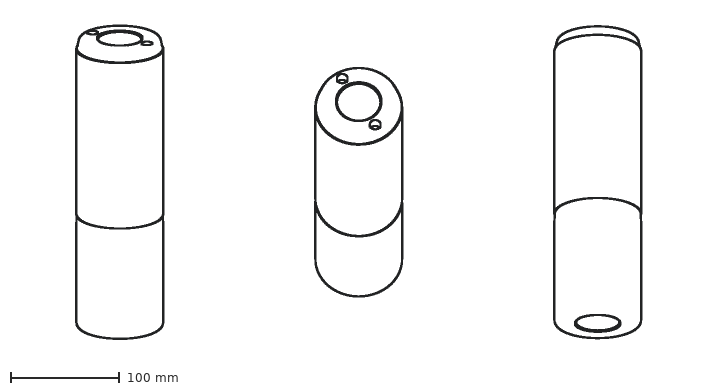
import cadquery as cq
import math

length = 280.0
outer_radius = 80.0 / 2

bore_radius = 20.0
bore_chamfer = 1.0

lead_length = 10.0
lead_bevel = 0.5
lead_angle = 12.0
top_fillet = 3.5

bottom_fillet = 3.5

groove_bottom = 100.0
groove_width = 8.5
groove_depth = 0.5

hole_diameter = 10.0
hole_depth = 10.5
hole_circle_radius = 29.0
hole_tilt = 0.7

lead_start_radius = outer_radius - lead_bevel
lead_end_radius = lead_start_radius - lead_length * math.tan(math.radians(lead_angle))


def make_body():
    """Revolve the outer half profile and round both ends."""
    profile = (
        cq.Workplane("XZ")
        .lineTo(outer_radius, 0)
        .lineTo(outer_radius, groove_bottom)
        .lineTo(outer_radius - groove_depth, groove_bottom + groove_width)
        .lineTo(outer_radius, groove_bottom + groove_width)
        .lineTo(outer_radius, length - lead_length - lead_bevel)
        .lineTo(lead_start_radius, length - lead_length)
        .lineTo(lead_end_radius, length)
        .lineTo(0, length)
        .close()
    )
    body = profile.revolve(360, (0, 0, 0), (0, 1, 0))
    body = body.faces(">Z").edges().fillet(top_fillet)
    return body.faces("<Z").edges().fillet(bottom_fillet)


def cut_bore(body):
    """Cut the through bore and break its edge at both ends."""
    bore = cq.Workplane("XY").circle(bore_radius).extrude(length)
    body = body.cut(bore)
    bore_rims = cq.selectors.RadiusNthSelector(0)
    body = body.faces(">Z").edges(bore_rims).chamfer(bore_chamfer)
    return body.faces("<Z").edges(bore_rims).chamfer(bore_chamfer)


def cut_top_holes(body):
    """Sink the two opposite holes into the upper face."""
    holes = (
        cq.Workplane("XY")
        .workplane(offset=length - hole_depth)
        .polarArray(hole_circle_radius, hole_tilt, 360, 2)
        .circle(hole_diameter / 2)
        .extrude(hole_depth)
    )
    return body.cut(holes)


result = cut_top_holes(cut_bore(make_body()))